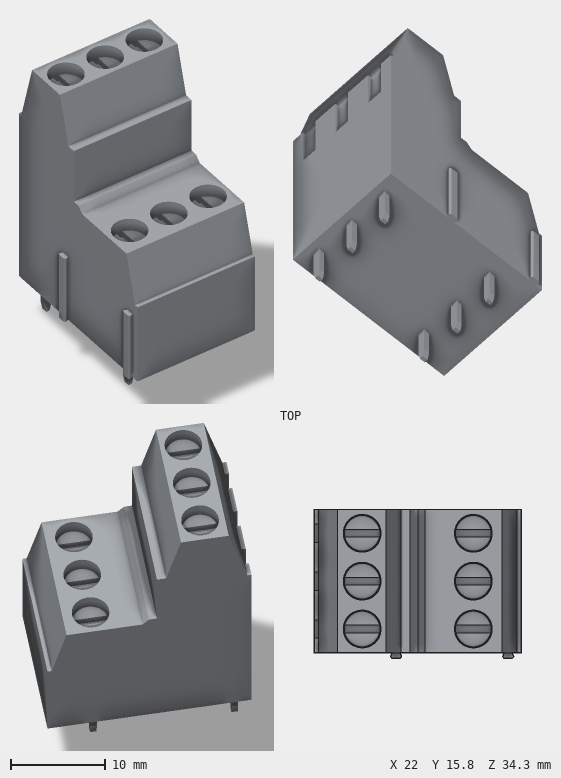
import cadquery as cq
import math


POLES = 3
POLE_PITCH = 5.08
BODY_WIDTH = POLES * POLE_PITCH

WALL_SLOPE = math.tan(math.radians(15))
BODY_LENGTH = 22.0
BODY_HEIGHT = 29.5
REAR_SHOULDER = 0.46
REAR_SHOULDER_Z = 22.05
UPPER_TOP_START = REAR_SHOULDER + (BODY_HEIGHT - REAR_SHOULDER_Z) * WALL_SLOPE
STEP_WALL_X = 10.2
UPPER_SHOULDER = 1.0
UPPER_SHOULDER_X = STEP_WALL_X - UPPER_SHOULDER
UPPER_SHOULDER_Z = 23.55
UPPER_TOP_END = UPPER_SHOULDER_X - (BODY_HEIGHT - UPPER_SHOULDER_Z) * WALL_SLOPE
STEP_LEDGE_END = 11.05
STEP_LEDGE_Z = 16.7
LOWER_TOP_Z = 16.0
LOWER_TOP_START = STEP_LEDGE_END + STEP_LEDGE_Z - LOWER_TOP_Z
FRONT_SHOULDER = REAR_SHOULDER
FRONT_SHOULDER_X = BODY_LENGTH - FRONT_SHOULDER
FRONT_SHOULDER_Z = 10.05
LOWER_TOP_END = FRONT_SHOULDER_X - (LOWER_TOP_Z - FRONT_SHOULDER_Z) * WALL_SLOPE

SHAFT_DIAMETER = 4.0
SCREW_DIAMETER = 3.8
UPPER_SCREW_X = 5.1
SCREW_ROW_PITCH = 11.8
SCREW_RECESS = 1.5
SCREW_HEAD_HEIGHT = 1.5
SLOT_WIDTH = 0.8
SLOT_DEPTH = 0.8

POCKET_WIDTH = 1.96
POCKET_HEIGHT = 5.3
END_POCKET_HEIGHT = 5.2

RIB_POSITIONS = (8.7, 20.6)
RIB_WIDTH = 1.2
RIB_SIDE_TAPER = 0.17
RIB_DEPTH = 0.57
RIB_WIDEST_DEPTH = 0.4
RIB_HEIGHT = 8.55

PIN_POSITIONS = (1.42, 16.66)
PIN_THICKNESS = 0.7
PIN_WIDTH = 0.9
PIN_TIP_WIDTH = 0.45
PIN_LENGTH = 4.8
PIN_TIP_LENGTH = 1.0

pole_centers = [(pole + 0.5) * POLE_PITCH for pole in range(POLES)]


def make_housing():
    """Stepped side profile extruded across all poles."""
    outline = [
        (0, 0),
        (0, REAR_SHOULDER_Z),
        (REAR_SHOULDER, REAR_SHOULDER_Z),
        (UPPER_TOP_START, BODY_HEIGHT),
        (UPPER_TOP_END, BODY_HEIGHT),
        (UPPER_SHOULDER_X, UPPER_SHOULDER_Z),
        (STEP_WALL_X, UPPER_SHOULDER_Z),
        (STEP_WALL_X, STEP_LEDGE_Z),
        (STEP_LEDGE_END, STEP_LEDGE_Z),
        (LOWER_TOP_START, LOWER_TOP_Z),
        (LOWER_TOP_END, LOWER_TOP_Z),
        (FRONT_SHOULDER_X, FRONT_SHOULDER_Z),
        (BODY_LENGTH, FRONT_SHOULDER_Z),
        (BODY_LENGTH, 0),
    ]
    return cq.Workplane("XZ").polyline(outline).close().extrude(-BODY_WIDTH)


def make_screw_cavity(x, y, top_z):
    """Material to remove around one screw: its shaft, less the slotted screw head."""
    head_z = top_z - SCREW_RECESS
    floor_z = head_z - SCREW_HEAD_HEIGHT
    shaft = cq.Workplane("XY", origin=(x, y, floor_z)).circle(SHAFT_DIAMETER / 2).extrude(top_z - floor_z)
    head = cq.Workplane("XY", origin=(x, y, floor_z)).circle(SCREW_DIAMETER / 2).extrude(SCREW_HEAD_HEIGHT)
    slot = cq.Workplane("XY", origin=(x, y, head_z)).rect(SCREW_DIAMETER, SLOT_WIDTH).extrude(-SLOT_DEPTH)
    return shaft.cut(head.cut(slot))


def make_pocket(y, height):
    """Rectangular recess in the rear wall, as deep as the rear shoulder."""
    pocket = cq.Workplane("XY").box(REAR_SHOULDER, POCKET_WIDTH, height, centered=(False, True, False))
    return pocket.translate((0, y, REAR_SHOULDER_Z - height))


def make_rib(x):
    """Vertical rib that widens away from the wall, then narrows to its flat outer face."""
    half_width = RIB_WIDTH / 2
    half_flat = half_width - RIB_SIDE_TAPER
    outline = [
        (x - half_flat, 0),
        (x - half_width, -RIB_WIDEST_DEPTH),
        (x - half_flat, -RIB_DEPTH),
        (x + half_flat, -RIB_DEPTH),
        (x + half_width, -RIB_WIDEST_DEPTH),
        (x + half_flat, 0),
    ]
    return cq.Workplane("XY").polyline(outline).close().extrude(RIB_HEIGHT)


def make_pin(x, y):
    """Flat solder pin whose width tapers to a blunt tip."""
    half_width = PIN_WIDTH / 2
    half_tip = PIN_TIP_WIDTH / 2
    taper_z = PIN_TIP_LENGTH - PIN_LENGTH
    outline = [
        (-half_width, 0),
        (-half_width, taper_z),
        (-half_tip, -PIN_LENGTH),
        (half_tip, -PIN_LENGTH),
        (half_width, taper_z),
        (half_width, 0),
    ]
    pin = cq.Workplane("YZ").polyline(outline).close().extrude(PIN_THICKNESS / 2, both=True)
    return pin.translate((x, y, 0))


result = make_housing()

for pole, pole_y in enumerate(pole_centers):
    result = result.cut(make_screw_cavity(UPPER_SCREW_X, pole_y, BODY_HEIGHT))
    result = result.cut(make_screw_cavity(UPPER_SCREW_X + SCREW_ROW_PITCH, pole_y, LOWER_TOP_Z))
    pocket_height = END_POCKET_HEIGHT if pole == 0 else POCKET_HEIGHT
    result = result.cut(make_pocket(pole_y, pocket_height))
    for pin_x in PIN_POSITIONS:
        result = result.union(make_pin(pin_x, pole_y))

for rib_x in RIB_POSITIONS:
    result = result.union(make_rib(rib_x))